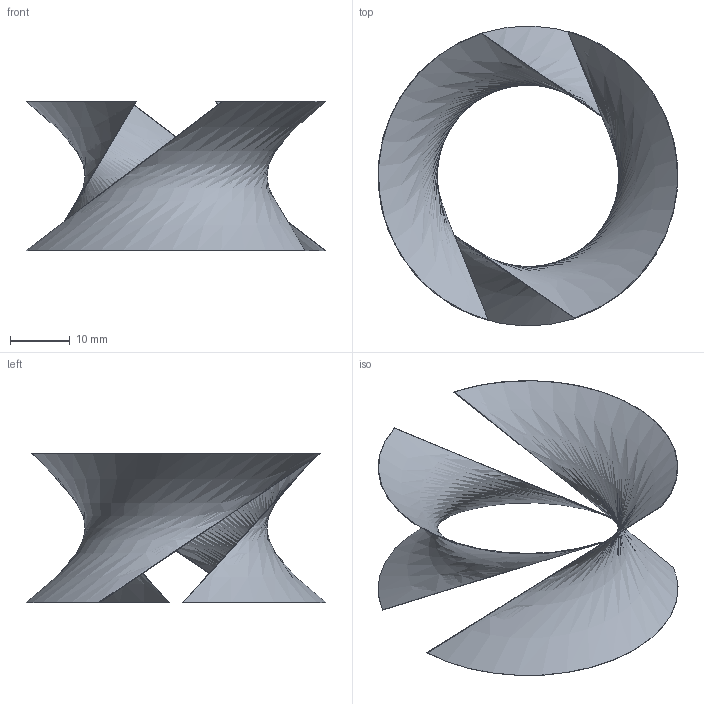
import cadquery as cq
import math

height = 25.0
rim_radius = 25.0
wall = 0.1
sector_angle = 146.5
twist_angle = 105.5
bottom_start = 2.6
blade_count = 2


def rim_point(angle, z):
    """Point of a rim at a polar angle in degrees around the Z axis."""
    turn = math.radians(angle)
    return cq.Vector(rim_radius * math.cos(turn), rim_radius * math.sin(turn), z)


def rim_arc(start, z):
    """Arc of one rim, covering the sector of a blade from its start angle."""
    angles = (start, start + sector_angle / 2, start + sector_angle)
    return cq.Edge.makeThreePointArc(*[rim_point(angle, z) for angle in angles])


def twisted_blade(start):
    """Thin hyperboloid blade: straight rulings join the bottom arc to the turned top arc.

    The ruled surface is the inner side of the blade, and the wall is added outside it.
    """
    bottom_arc = rim_arc(start, -height / 2)
    top_arc = rim_arc(start + twist_angle, height / 2)
    inner_side = cq.Face.makeRuledSurface(bottom_arc, top_arc)
    return inner_side.thicken(wall)


blades = [twisted_blade(bottom_start + index * 360 / blade_count) for index in range(blade_count)]

result = cq.Compound.makeCompound(blades)